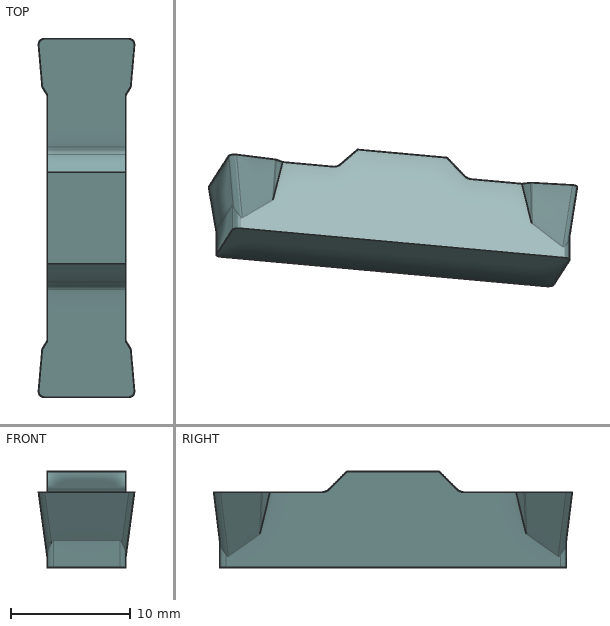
import cadquery as cq
import math

length = 30.05
head_width = 8.05
body_width = 6.6
total_height = 8.08
seat_height = 6.35

relief_angle = 7.0
side_taper_angle = 5.0
corner_radius = 0.5
shoulder_radius = 0.25
shoulder_start = 4.03
shoulder_end = 4.72
root_half_width = 1.8

step_height = 2.28
body_length = length - 2 * (seat_height - step_height) * math.tan(math.radians(relief_angle))

block_top_length = 7.7
ramp_angle = 45.0
ramp_radius = 0.9
ramp_run = (total_height - seat_height) / math.tan(math.radians(ramp_angle))
block_foot_length = block_top_length + 2 * ramp_run


def make_body():
    """Straight bar with rounded vertical corners."""
    bar = cq.Workplane("XY").box(body_width, body_length, seat_height, centered=(True, True, False))
    return bar.edges("|Z").fillet(corner_radius)


def make_block():
    """Raised block whose ramps blend into the seats through concave arcs."""
    middle_angle = math.radians(ramp_angle / 2)
    tangent = ramp_radius * math.tan(middle_angle)
    foot = block_foot_length / 2
    ramp_shift = tangent * math.cos(math.radians(ramp_angle))
    ramp_rise = tangent * math.sin(math.radians(ramp_angle))
    arc_start = foot + tangent
    arc_mid = (
        arc_start - ramp_radius * math.sin(middle_angle),
        seat_height + ramp_radius * (1 - math.cos(middle_angle)),
    )
    arc_end = (foot - ramp_shift, seat_height + ramp_rise)
    overlap_base = seat_height / 2
    profile = (
        cq.Workplane("YZ")
        .moveTo(-arc_start, overlap_base)
        .lineTo(arc_start, overlap_base)
        .lineTo(arc_start, seat_height)
        .threePointArc(arc_mid, arc_end)
        .lineTo(block_top_length / 2, total_height)
        .lineTo(-block_top_length / 2, total_height)
        .lineTo(-arc_end[0], arc_end[1])
        .threePointArc((-arc_mid[0], arc_mid[1]), (-arc_start, seat_height))
        .close()
    )
    return profile.extrude(body_width / 2, both=True)


def make_head():
    """Head at the -Y end, leaning inward on every wall down to the base."""
    taper = math.radians(side_taper_angle)
    trim = corner_radius * (math.tan(taper) + 1 / math.cos(taper) - 1)
    corner = head_width / 2 + trim
    bend = corner - shoulder_start * math.tan(taper)
    shoulder_slope = (shoulder_end - shoulder_start) / (bend - body_width / 2)
    root = shoulder_start + (bend - root_half_width) * shoulder_slope
    end = -length / 2
    outline = [
        (-corner, end),
        (corner, end),
        (bend, end + shoulder_start),
        (root_half_width, end + root),
        (-root_half_width, end + root),
        (-bend, end + shoulder_start),
    ]
    head = (
        cq.Workplane("XY", origin=(0, 0, seat_height))
        .polyline(outline)
        .close()
        .extrude(-seat_height, taper=relief_angle)
    )
    steep_edges = head.edges("not #Z").sort(lambda edge: edge.Center().y).vals()
    head = head.newObject(steep_edges[:2]).fillet(corner_radius)
    bend_zone = cq.selectors.BoxSelector(
        (-corner, end + shoulder_start - shoulder_radius, 0),
        (corner, end + shoulder_start + shoulder_radius, seat_height),
    )
    bends = head.edges(bend_zone).edges("not #Z")
    return bends.fillet(shoulder_radius)


front_head = make_head()
back_head = front_head.mirror("XZ")
result = make_body().union(front_head).union(back_head).union(make_block()).clean()